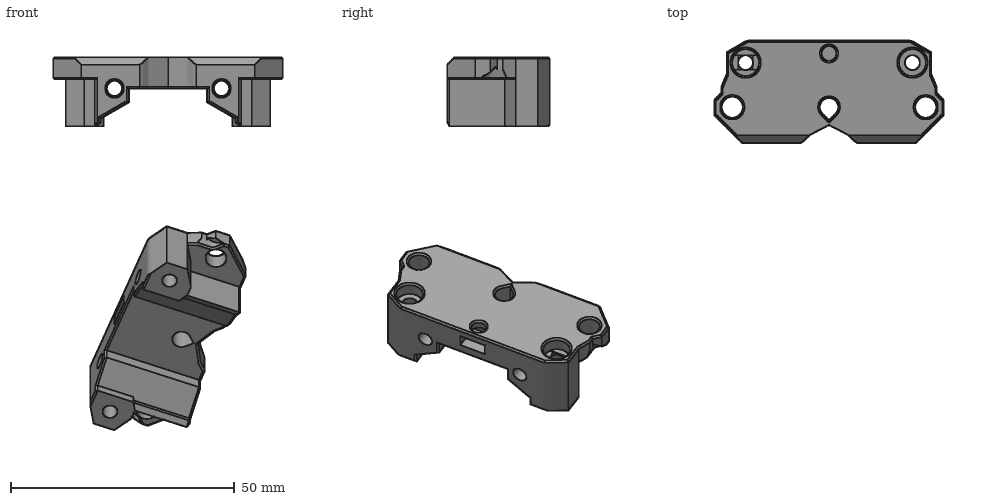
import cadquery as cq
import math

width = 51.5
depth = 23.0
height = 15.5
half_width = width / 2

plate_bottom = 10.5
slab_bottom = 8.4

edge_chamfer = 0.4
front_chamfer = 0.5
front_bevel = 1.7
plate_edge_z = plate_bottom + edge_chamfer

front_corner_x = half_width - 6.3
side_flat_front_y = 6.3
side_flat_back_y = 9.65
waist_x = 24.2
waist_front_y = side_flat_back_y + half_width - waist_x
waist_back_y = 12.45
rear_x = 22.95
rear_side_front_y = 15.4
rear_side_back_y = 20.35
rear_corner_x = 18.35

notch_depth = 4.0
notch_shoulder = (4.4, 1.75)
notch_lip = (5.75, 0.35)
notch_mouth_x = 6.4

tunnel_half_width = 8.7
leg_outer_x = 16.45
leg_inner_x = 15.05
tip_slope = math.tan(math.radians(30))
tip_height = (leg_outer_x - leg_inner_x) * tip_slope
rear_inner_x = 14.4
rear_inner_height = 2.1
tunnel_shoulder_z = rear_inner_height + (rear_inner_x - tunnel_half_width) * tip_slope
leg_inner_height = rear_inner_height - (leg_inner_x - rear_inner_x) * tip_slope

rear_step_x = 18.75
rear_step_y = 12.95
rear_inner_y = rear_step_y + (leg_outer_x - rear_inner_x) * tip_slope

pocket_wall_x = 23.85
pocket_lean = 11
pocket_front_y = 7.65
pocket_corner_y = pocket_front_y + half_width - pocket_wall_x
pocket_radius = 1.65
pocket_reach = 5.15
pocket_roof_slope = 34
pocket_roof_turn = 27

hole_chamfer = 0.4
bolt_hole = 3.3
counterbore = 6.0
counterbore_depth = 3.2
counterbore_floor = height - counterbore_depth
rear_hole_x = 18.7
rear_hole_y = 18.0
bridge_step = 0.2
side_hole = 4.7
front_row_y = 8.05
side_hole_x = 21.7
teardrop_radius = 2.05
leg_hole = 3.4
leg_hole_x = 12.0
leg_hole_z = 8.5
nut_hole_y = 20.1
nut_slot_width = 6.2
nut_slot_top = 13.55
nut_slot_bottom = 10.8
nut_slot_front_y = nut_hole_y - nut_slot_width / 2


def mirrored(half):
    """Close a right-half point list with its mirror image about X = 0."""
    return half + [(-x, y) for x, y in reversed(half) if x != 0]


def prism(points, bottom, top):
    return cq.Workplane("XY").workplane(offset=bottom).polyline(points).close().extrude(top - bottom)


def along_depth(points):
    return cq.Workplane("XZ").polyline(points).close().extrude(-depth)


def both_sides(shape):
    return shape.union(shape.mirror("YZ"))


outline = mirrored([
    (0, notch_depth),
    notch_shoulder,
    notch_lip,
    (notch_mouth_x, 0),
    (front_corner_x, 0),
    (half_width, side_flat_front_y),
    (half_width, side_flat_back_y),
    (waist_x, waist_front_y),
    (waist_x, waist_back_y),
    (rear_x, rear_side_front_y),
    (rear_x, rear_side_back_y),
    (rear_corner_x, depth),
])


def pocket_plan(bottom, top):
    """Plan of the right side pocket: straight inner wall, rounded corner, flared front wall."""
    plan = prism(
        [
            (pocket_wall_x, rear_side_front_y),
            (pocket_wall_x, pocket_corner_y),
            (pocket_wall_x + pocket_reach, pocket_corner_y - pocket_reach),
            (pocket_wall_x + pocket_reach, rear_side_front_y),
        ],
        bottom,
        top,
    )
    corner = cq.selectors.NearestToPointSelector((pocket_wall_x, pocket_corner_y, (bottom + top) / 2))
    return plan.edges(corner).fillet(pocket_radius)


def side_pocket():
    """Right side pocket above the edge break: leaning walls and sloping roof."""
    mouth = pocket_plan(plate_bottom, plate_edge_z).faces(">Z").wires().toPending()
    walls = mouth.extrude(height - plate_edge_z, taper=pocket_lean, combine=False)
    run = 2 * pocket_reach
    rise = run * math.tan(math.radians(pocket_roof_slope))
    roof = (
        cq.Workplane("YZ")
        .polyline([(0, 0), (run, rise), (run, 0)])
        .close()
        .extrude(run, both=True)
        .rotate((0, 0, 0), (0, 0, 1), pocket_roof_turn)
        .translate((half_width, pocket_front_y, plate_edge_z))
    )
    return walls.intersect(roof)


def make_plate():
    """Top plate with side pockets; its underside edge is broken all round."""
    upper = prism(outline, plate_edge_z, height).cut(both_sides(side_pocket()))
    lower_plan = prism(outline, plate_edge_z, height).cut(both_sides(pocket_plan(plate_edge_z, height)))
    lower = lower_plan.faces("<Z").wires().toPending().workplane().extrude(
        edge_chamfer, taper=45, combine=False
    )
    return upper.union(lower)


def make_core():
    """Centre slab with the two legs, front edges broken."""
    profile = mirrored([
        (tunnel_half_width, slab_bottom),
        (tunnel_half_width, tunnel_shoulder_z),
        (leg_inner_x, leg_inner_height),
        (leg_inner_x, tip_height),
        (leg_outer_x, 0),
        (leg_outer_x, plate_edge_z),
    ])
    core = prism(outline, 0, plate_edge_z).intersect(along_depth(profile))
    front_lower_edges = cq.selectors.BoxSelector(
        (-half_width, -0.5, -0.5), (half_width, notch_depth, slab_bottom + 0.5)
    )
    return core.edges(front_lower_edges).chamfer(front_chamfer)


def make_rear_block():
    plan = mirrored([
        (rear_inner_x, rear_inner_y),
        (leg_outer_x, rear_step_y),
        (rear_step_x, rear_step_y),
        (rear_x, rear_side_front_y),
        (rear_x, rear_side_back_y),
        (rear_corner_x, depth),
    ])
    tunnel = along_depth(mirrored([
        (rear_inner_x, 0),
        (rear_inner_x, rear_inner_height),
        (tunnel_half_width, tunnel_shoulder_z),
        (tunnel_half_width, slab_bottom),
    ]))
    return prism(plan, 0, height).cut(tunnel)


def vertical_hole(x, y, radius, bottom):
    """Round hole from the top face with a chamfered mouth."""
    hole = cq.Workplane("XY").workplane(offset=bottom).circle(radius).extrude(height - bottom)
    mouth = cq.Solid.makeCone(
        radius, radius + hole_chamfer, hole_chamfer, pnt=cq.Vector(0, 0, height - hole_chamfer)
    )
    return hole.union(cq.Workplane(mouth)).rotate((0, 0, 0), (0, 0, 1), 90).translate((x, y, 0))


def teardrop(base, radius):
    """Circle with a right-angled point toward the front."""
    leg = radius * math.sqrt(0.5)
    return (
        base.moveTo(leg, -leg)
        .threePointArc((0, radius), (-leg, -leg))
        .lineTo(0, -2 * leg)
        .close()
    )


def teardrop_hole():
    """Centre through hole with a chamfered mouth."""
    start = cq.Workplane("XY").center(0, front_row_y)
    mouth_start = start.workplane(offset=height - hole_chamfer)
    lower = teardrop(mouth_start, teardrop_radius)
    mouth = teardrop(lower.workplane(offset=hole_chamfer), teardrop_radius + hole_chamfer).loft(ruled=True)
    return teardrop(start, teardrop_radius).extrude(height - hole_chamfer).union(mouth)


def counterbored_hole(side):
    x, y = side * rear_hole_x, rear_hole_y
    bolt = cq.Workplane("XY").center(x, y).circle(bolt_hole / 2).extrude(height)
    return vertical_hole(x, y, counterbore / 2, counterbore_floor).union(bolt)


def bridge_steps():
    """Two shallow steps under the left counterbore: a band across it, then a square."""
    start = cq.Workplane("XY").workplane(offset=counterbore_floor).center(-rear_hole_x, rear_hole_y)
    band_half = bolt_hole / 2
    chord_half = math.sqrt((counterbore / 2) ** 2 - band_half ** 2)
    band = (
        start.moveTo(-chord_half, -band_half)
        .lineTo(chord_half, -band_half)
        .threePointArc((counterbore / 2, 0), (chord_half, band_half))
        .lineTo(-chord_half, band_half)
        .threePointArc((-counterbore / 2, 0), (-chord_half, -band_half))
        .close()
        .extrude(-bridge_step)
    )
    square = start.rect(bolt_hole, bolt_hole).extrude(-2 * bridge_step)
    return band.union(square)


def nut_pocket():
    """Blind hole from the top into a nut slot that opens through the rear face."""
    slot = (
        cq.Workplane("XY")
        .box(nut_slot_width, depth - nut_slot_front_y, nut_slot_top - nut_slot_bottom, centered=(True, False, False))
        .translate((0, nut_slot_front_y, nut_slot_bottom))
    )
    return slot.union(vertical_hole(0, nut_hole_y, bolt_hole / 2, nut_slot_bottom))


def leg_through_hole(side):
    x = side * leg_hole_x
    hole = cq.Workplane("XZ").center(x, leg_hole_z).circle(leg_hole / 2).extrude(-depth)
    mouth = cq.Solid.makeCone(
        leg_hole / 2 + hole_chamfer, leg_hole / 2, hole_chamfer,
        pnt=cq.Vector(x, 0, leg_hole_z), dir=cq.Vector(0, 1, 0),
    )
    return hole.union(cq.Workplane(mouth))


body = make_plate().union(make_core()).union(make_rear_block()).clean()
body = body.faces(">Y").edges().chamfer(edge_chamfer)
for side in (-1, 1):
    side_edges = cq.selectors.BoxSelector(
        (side * rear_corner_x, 0, height - 0.05), (side * width, depth, height + 0.05)
    )
    body = body.edges(side_edges).chamfer(edge_chamfer)

bevel = (
    cq.Workplane("YZ")
    .polyline([(0, height - front_bevel), (front_bevel, height), (0, height)])
    .close()
    .extrude(half_width, both=True)
)
body = body.cut(bevel)

body = body.cut(bridge_steps())
for side in (-1, 1):
    body = body.cut(counterbored_hole(side))
    body = body.cut(vertical_hole(side * side_hole_x, front_row_y, side_hole / 2, 0))
    body = body.cut(leg_through_hole(side))
body = body.cut(teardrop_hole())
body = body.cut(nut_pocket())

result = body